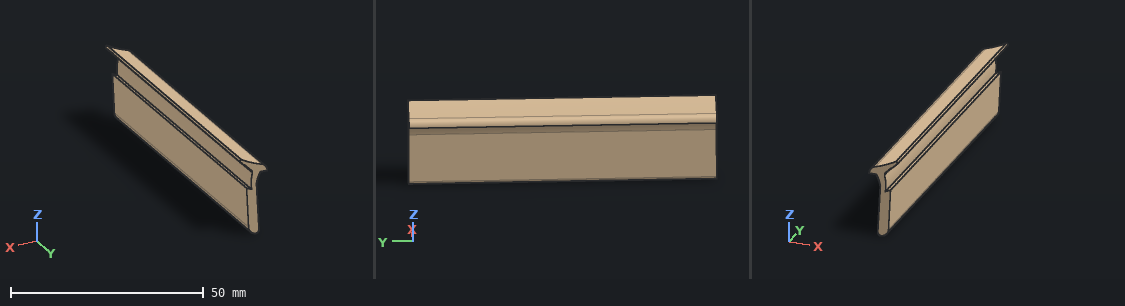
import cadquery as cq

length = 80.0
width = 7.9
height = 21.8

lip_bottom_z = 17.3
lip_shoulder = (1.6, 19.4)
lip_round_mid = (0.5, 18.6)
wing_top_mid = (4.6, 20.4)
wing_crest = (7.5, height)
wing_tip = (width, 21.5)
wing_underside = (7.8, 21.0)

neck_front_top = (2.0, lip_bottom_z)
neck_front_mid = (2.7, 15.8)
neck_back_top = (4.5, 18.0)
neck_back_waist = (4.3, 17.5)
neck_back_bulge = (4.6, 15.8)
neck_back_foot = (4.6, 12.8)

blade_front_top = (3.1, 14.1)
blade_front_bottom = (2.4, 1.0)
ledge_tip = (6.0, 13.4)
blade_back_bottom = (5.4, 2.2)

toe_back_mid = (5.0, 1.0)
toe_bottom = (3.5, 0.0)
toe_front_mid = (2.6, 0.3)


def head(outline):
    """From the lip corner, over the top and back along the wing underside."""
    return (
        outline.moveTo(0, lip_bottom_z)
        .threePointArc(lip_round_mid, lip_shoulder)
        .threePointArc(wing_top_mid, wing_crest)
        .threePointArc(wing_tip, wing_underside)
        .lineTo(*neck_back_top)
    )


def back(outline):
    """Down the back of the neck, around the ledge and down the blade."""
    return (
        outline.lineTo(*neck_back_waist)
        .threePointArc(neck_back_bulge, neck_back_foot)
        .lineTo(*ledge_tip)
        .lineTo(*blade_back_bottom)
    )


def toe_and_front(outline):
    """Around the toe, then up the front to the underside of the lip."""
    return (
        outline.threePointArc(toe_back_mid, toe_bottom)
        .threePointArc(toe_front_mid, blade_front_bottom)
        .lineTo(*blade_front_top)
        .threePointArc(neck_front_mid, neck_front_top)
        .close()
    )


profile = toe_and_front(back(head(cq.Workplane("XZ"))))
result = profile.extrude(length / 2, both=True)